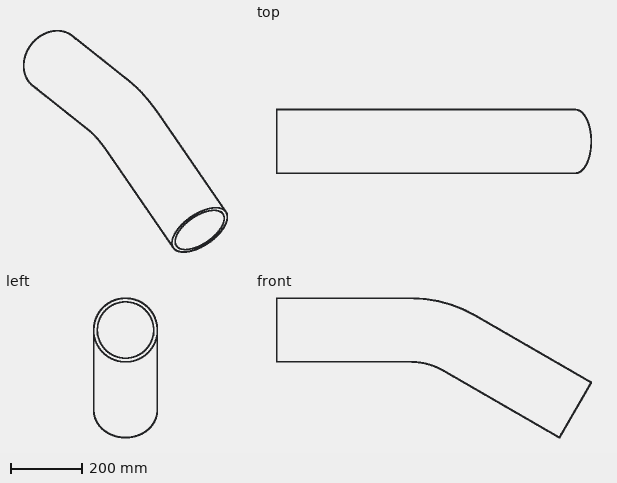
import cadquery as cq
import math

outer_diameter = 180.0
inner_diameter = 158.0

leg_length = 378.0
bend_radius = 270.0
bend_angle = 30.0


def point_on_bend(angle):
    """Centreline point (X, Z) after turning down by the given angle in degrees."""
    turn = math.radians(angle)
    x = leg_length + bend_radius * math.sin(turn)
    z = -bend_radius * (1 - math.cos(turn))
    return x, z


bend_middle = point_on_bend(bend_angle / 2)
bend_end = point_on_bend(bend_angle)
slope = math.radians(bend_angle)
pipe_end = (
    bend_end[0] + leg_length * math.cos(slope),
    bend_end[1] - leg_length * math.sin(slope),
)

centreline = (
    cq.Workplane("XZ")
    .lineTo(leg_length, 0)
    .threePointArc(bend_middle, bend_end)
    .lineTo(*pipe_end)
)

result = (
    cq.Workplane("YZ")
    .circle(outer_diameter / 2)
    .circle(inner_diameter / 2)
    .sweep(centreline)
)